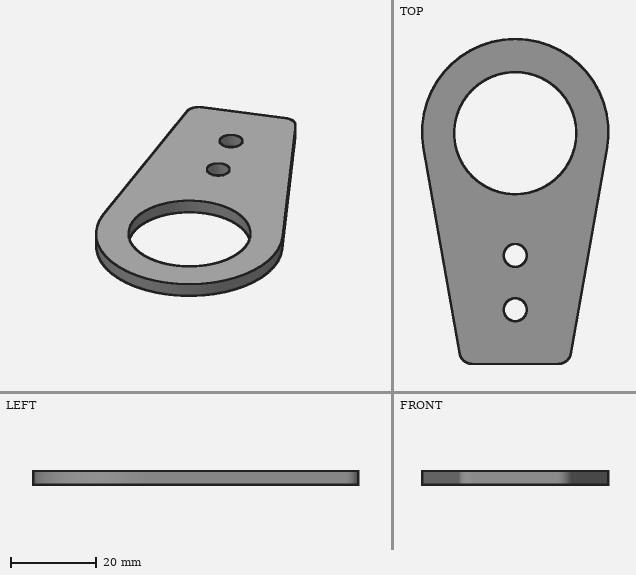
import cadquery as cq
import math

length = 76.2
thickness = 3.3
head_radius = 21.9
bore_diameter = 28.6
taper_angle = 10.0
corner_radius = 3.05
hole_diameter = 5.3
hole_spacing = 12.7
first_hole_from_foot = 12.7
bore_from_foot = 54.1

foot_y = head_radius - length
lean = math.radians(taper_angle)
tangent_x = head_radius * math.cos(lean)
tangent_y = -head_radius * math.sin(lean)
foot_half_width = tangent_x - (tangent_y - foot_y) * math.tan(lean)


def make_plate():
    """Round head with tangent sides tapering to a rounded foot."""
    return (
        cq.Workplane("XY")
        .moveTo(-foot_half_width, foot_y)
        .lineTo(foot_half_width, foot_y)
        .lineTo(tangent_x, tangent_y)
        .threePointArc((0, head_radius), (-tangent_x, tangent_y))
        .close()
        .extrude(thickness)
        .edges("|Z and <Y")
        .fillet(corner_radius)
    )


def make_cutter(diameter, distance_from_foot):
    """Cylinder through the plate on its centre line."""
    return (
        cq.Workplane("XY")
        .center(0, foot_y + distance_from_foot)
        .circle(diameter / 2)
        .extrude(thickness)
    )


result = make_plate().cut(make_cutter(bore_diameter, bore_from_foot))
for index in range(2):
    hole_position = first_hole_from_foot + index * hole_spacing
    result = result.cut(make_cutter(hole_diameter, hole_position))